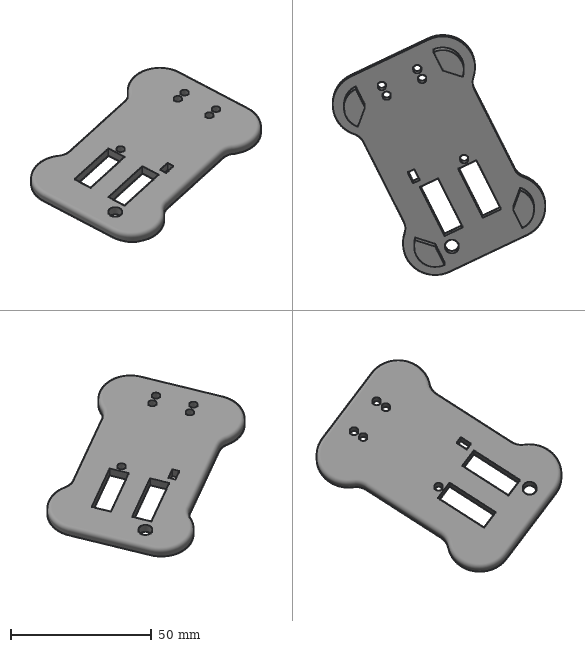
import cadquery as cq
import math

length = 80.0
width = 53.9
waist_width = 44.0
corner_radius = 11.5
neck_radius = 6.0
plate_thickness = 3.7
edge_round = 1.5

foot_height = 4.0
foot_inset = 4.0
foot_radius = corner_radius - foot_inset

small_hole_diameter = 3.0
large_hole_diameter = 5.0
hole_pair_x = 7.0
hole_pair_rows = (28.0, 32.0)
single_hole_center = (-7.5, -5.0)
large_hole_center = (10.6, -32.0)

slot_width = 7.2
slot_length = 20.0
slot_x = 7.6
slot_y = -17.4
window_width = 2.6
window_length = 4.4
window_center = (11.4, -2.8)

corner_x = width / 2 - corner_radius
corner_y = length / 2 - corner_radius
waist_x = waist_width / 2
neck_x = waist_x + neck_radius
neck_y = corner_y - math.sqrt((corner_radius + neck_radius) ** 2 - (neck_x - corner_x) ** 2)
neck_angle = math.atan2(neck_y - corner_y, neck_x - corner_x)
corner_middle_angle = (math.pi / 2 + neck_angle) / 2


def corner_point(radius, angle):
    """Point of the +X +Y corner at a radius and angle about its arc centre."""
    return (corner_x + radius * math.cos(angle), corner_y + radius * math.sin(angle))


def neck_point(angle):
    """Point on the +X +Y neck arc."""
    return (neck_x + neck_radius * math.cos(angle), neck_y + neck_radius * math.sin(angle))


def make_blank():
    """Dog-bone plate with a rounded top edge, mirrored from one quarter."""
    neck_start = math.pi + neck_angle
    neck_middle = (neck_start + math.pi) / 2
    quarter = (
        cq.Workplane("XY")
        .lineTo(0, length / 2)
        .lineTo(corner_x, length / 2)
        .threePointArc(
            corner_point(corner_radius, corner_middle_angle),
            corner_point(corner_radius, neck_angle),
        )
        .threePointArc(neck_point(neck_middle), (waist_x, neck_y))
        .lineTo(waist_x, 0)
        .close()
        .extrude(plate_thickness)
    )
    half = quarter.union(quarter.mirror("YZ"))
    blank = half.union(half.mirror("XZ")).clean()
    return blank.faces(">Z").edges().fillet(edge_round)


def make_small_holes():
    centers = [(x, y) for x in (-hole_pair_x, hole_pair_x) for y in hole_pair_rows]
    centers.append(single_hole_center)
    return cq.Workplane("XY").pushPoints(centers).circle(small_hole_diameter / 2).extrude(plate_thickness)


def make_large_hole():
    return (
        cq.Workplane("XY")
        .center(*large_hole_center)
        .circle(large_hole_diameter / 2)
        .extrude(plate_thickness)
    )


def make_slots():
    return (
        cq.Workplane("XY")
        .pushPoints([(-slot_x, slot_y), (slot_x, slot_y)])
        .rect(slot_width, slot_length)
        .extrude(plate_thickness)
    )


def make_window():
    return (
        cq.Workplane("XY")
        .center(*window_center)
        .rect(window_width, window_length)
        .extrude(plate_thickness)
    )


def make_plate():
    plate = make_blank()
    for opening in (make_small_holes(), make_large_hole(), make_slots(), make_window()):
        plate = plate.cut(opening)
    return plate.solids()


def make_foot(x_side, y_side):
    """Sector-shaped foot spanning the same angle as the corner arc above it."""

    def placed(point):
        return (x_side * point[0], y_side * point[1])

    return (
        cq.Workplane("XY")
        .moveTo(*placed((corner_x, corner_y)))
        .lineTo(*placed(corner_point(foot_radius, math.pi / 2)))
        .threePointArc(
            placed(corner_point(foot_radius, corner_middle_angle)),
            placed(corner_point(foot_radius, neck_angle)),
        )
        .close()
        .extrude(-foot_height)
    )


plate = make_plate()
feet = [make_foot(x_side, y_side) for x_side in (-1, 1) for y_side in (-1, 1)]

result = cq.Compound.makeCompound([plate.val(), *[foot.val() for foot in feet]])